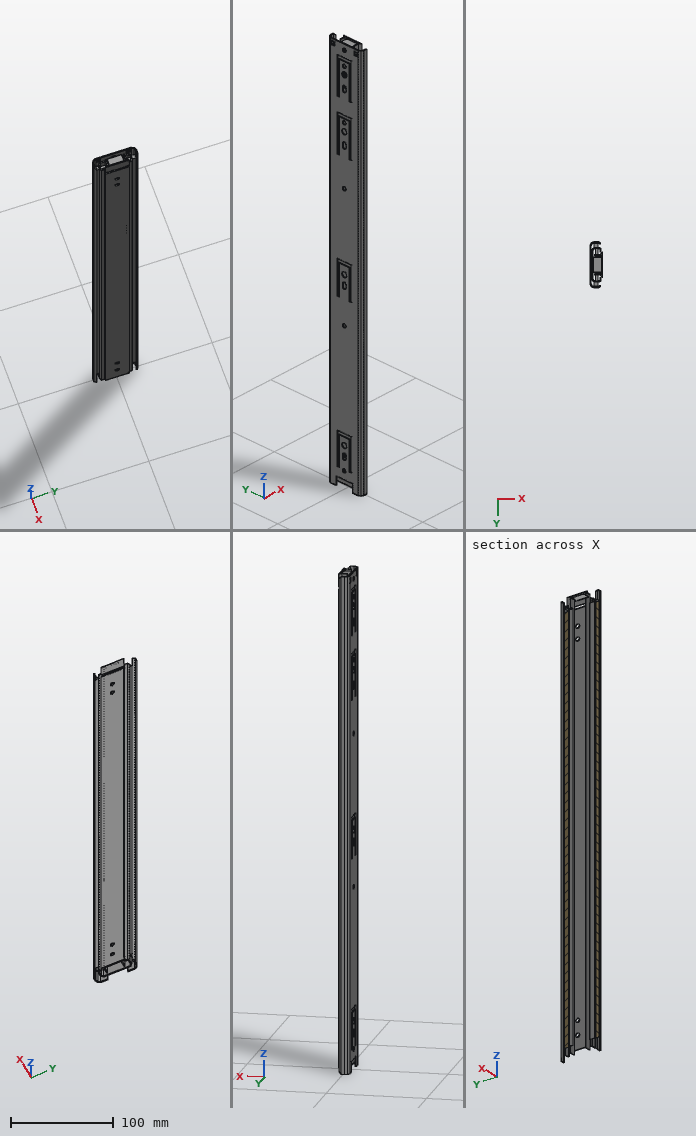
import cadquery as cq


LENGTH = 500.0
WIDTH = 45.5
DEPTH = 12.5
SHEET = 1.25
HALF_SHEET = SHEET / 2

OUTER_HALF = WIDTH / 2
OUTER_WEB_HALF = 18.5
OUTER_BEND_X = 2.0
OUTER_BEND_Y = 21.0
OUTER_FLANGE_START = 4.5
OUTER_FLANGE_END = 8.0
OUTER_LIP_X = 10.5
OUTER_LIP_Y = 21.5
LIP_CHAMFER = 2.5

MIDDLE_BACK = 1.75
MIDDLE_WEB_HALF = 14.5
MIDDLE_HALF = 17.0
MIDDLE_FLANGE_START = 4.5
MIDDLE_FLANGE_END = 8.5
MIDDLE_LIP_X = 11.0
MIDDLE_LIP_START = 15.5
MIDDLE_LIP_END = 13.0
MIDDLE_BOTTOM = 4.5
MIDDLE_TOP = 492.0

DRAWER_WEB_HALF = 11.0
DRAWER_FLANGE_HALF = 10.0
DRAWER_FLANGE_START = 10.0
DRAWER_FLANGE_END = 4.5
DRAWER_BOTTOM = 4.5

FRONT_SLOT_Z = 486.0
FRONT_SLOT_HEIGHT = 3.0
FRONT_SLOT_DEPTH = 1.5

STOP_HALF = 7.5
STOP_END = 3.5
STOP_TOP = 498.5

CAGE_BOTTOM = 15.0
CAGE_TOP = 490.0
OUTER_CAGE_X = (4.0, 8.0)
OUTER_CAGE_HALF = 21.0
INNER_CAGE_X = (5.5, 8.0)

TONGUES = [(484.5, 438.0), (420.0, 373.0), (255.5, 213.5), (62.5, 22.0)]
TONGUE_CUT_HALF = 9.5
TONGUE_HALF = 6.5
TONGUE_LEDGE = 1.5
TONGUE_TOP_GAP = 4.0

SMALL_HOLES = [493.0, 475.0, 411.5, 337.5, 183.5, 20.5]
SMALL_HOLE = 4.5
LARGE_HOLES = [465.5, 401.5, 241.0, 49.0]
LARGE_HOLE = 6.5
SCREW_SLOTS = [449.5, 386.0, 228.5, 36.5]
SCREW_SLOT_LENGTH = 8.0
SCREW_SLOT_WIDTH = 4.5

ACCESS_HOLES = [465.5, 451.5, 36.5, 20.5]
ACCESS_HOLE = 4.5

CORNER_OPENING = 4.5
CORNER_OPENING_Y = 15.5
CORNER_OPENING_Z = 495.0
NOTCH_HALF = 11.0
NOTCH_HEIGHT = 10.5


def sheet_rail(half_path, bottom, top):
    """Symmetric sheet rail along Z, from the mid-thickness line of its +Y half."""
    mirrored_half = [(x, -y) for x, y in reversed(half_path)]
    section = cq.Workplane("XY").workplane(offset=bottom).polyline(mirrored_half + half_path)
    return section.offset2D(HALF_SHEET, "intersection").extrude(top - bottom)


def box_between(x_range, y_range, z_range):
    """Axis-aligned box given by its lower and upper limits."""
    ranges = (x_range, y_range, z_range)
    sizes = [high - low for low, high in ranges]
    corner = tuple(low for low, high in ranges)
    return cq.Workplane("XY").box(*sizes, centered=False).translate(corner)


def cross_holes(heights, diameter):
    """Round cutters along X through the full depth, on the centre line of the slide."""
    centres = [(0, z) for z in heights]
    return cq.Workplane("YZ").pushPoints(centres).circle(diameter / 2).extrude(DEPTH)


def screw_slots():
    """Cutters for the upright screw slots."""
    centres = [(0, z) for z in SCREW_SLOTS]
    slots = cq.Workplane("YZ").pushPoints(centres).slot2D(SCREW_SLOT_LENGTH, SCREW_SLOT_WIDTH, 90)
    return slots.extrude(SHEET)


def tongue_cut(top, bottom):
    """U-shaped cutter that frees a mounting tongue with thin side ledges on three sides."""
    web = (0, SHEET)
    window = box_between(web, (-TONGUE_CUT_HALF, TONGUE_CUT_HALF), (bottom, top))
    tongue = box_between(web, (-TONGUE_HALF, TONGUE_HALF), (bottom, top - TONGUE_TOP_GAP))
    ledge_half = TONGUE_HALF + TONGUE_LEDGE
    ledge = box_between((HALF_SHEET, SHEET), (-ledge_half, ledge_half), (bottom, top - TONGUE_TOP_GAP))
    return window.cut(tongue).cut(ledge)


def corner_openings():
    """Square cutters in both top corners of the outer web."""
    centres = [(side * CORNER_OPENING_Y, CORNER_OPENING_Z) for side in (-1, 1)]
    return cq.Workplane("YZ").pushPoints(centres).rect(CORNER_OPENING, CORNER_OPENING).extrude(SHEET)


def bottom_notch():
    """Rectangular cutter open to the bottom end of the outer web."""
    return box_between((0, SHEET), (-NOTCH_HALF, NOTCH_HALF), (0, NOTCH_HEIGHT))


def lip_chamfer(end, inward):
    """Wedge cutter across both lips at one end; inward is the Z direction into the rail."""
    corners = [
        (OUTER_LIP_X, end),
        (OUTER_LIP_X - LIP_CHAMFER, end),
        (OUTER_LIP_X, end + inward * LIP_CHAMFER),
    ]
    return cq.Workplane("XZ").polyline(corners).close().extrude(OUTER_HALF, both=True)


def make_outer_rail():
    half_path = [
        (HALF_SHEET, OUTER_WEB_HALF),
        (OUTER_BEND_X, OUTER_BEND_Y),
        (OUTER_FLANGE_START, OUTER_HALF - HALF_SHEET),
        (OUTER_FLANGE_END, OUTER_HALF - HALF_SHEET),
        (OUTER_LIP_X - HALF_SHEET, OUTER_LIP_Y - HALF_SHEET),
    ]
    rail = sheet_rail(half_path, 0, LENGTH)
    for top, bottom in TONGUES:
        rail = rail.cut(tongue_cut(top, bottom))
    rail = rail.cut(cross_holes(SMALL_HOLES, SMALL_HOLE))
    rail = rail.cut(cross_holes(LARGE_HOLES, LARGE_HOLE))
    rail = rail.cut(screw_slots()).cut(corner_openings()).cut(bottom_notch())
    return rail.cut(lip_chamfer(0, 1)).cut(lip_chamfer(LENGTH, -1))


def make_middle_rail():
    half_path = [
        (MIDDLE_BACK + HALF_SHEET, MIDDLE_WEB_HALF),
        (MIDDLE_FLANGE_START, MIDDLE_HALF - HALF_SHEET),
        (MIDDLE_FLANGE_END, MIDDLE_HALF - HALF_SHEET),
        (MIDDLE_LIP_X - HALF_SHEET, MIDDLE_LIP_START),
        (MIDDLE_LIP_X - HALF_SHEET, MIDDLE_LIP_END),
    ]
    rail = sheet_rail(half_path, MIDDLE_BOTTOM, MIDDLE_TOP)
    return rail.cut(cross_holes(ACCESS_HOLES, ACCESS_HOLE))


def make_drawer_rail():
    half_path = [
        (DEPTH - HALF_SHEET, DRAWER_WEB_HALF),
        (DRAWER_FLANGE_START, DRAWER_FLANGE_HALF - HALF_SHEET),
        (DRAWER_FLANGE_END + HALF_SHEET, DRAWER_FLANGE_HALF - HALF_SHEET),
    ]
    rail = sheet_rail(half_path, DRAWER_BOTTOM, LENGTH)
    stop = box_between(
        (STOP_END, DEPTH - HALF_SHEET), (-STOP_HALF, STOP_HALF), (STOP_TOP - SHEET, STOP_TOP)
    )
    front_slot = box_between(
        (DEPTH - FRONT_SLOT_DEPTH, DEPTH),
        (-OUTER_HALF, OUTER_HALF),
        (FRONT_SLOT_Z - FRONT_SLOT_HEIGHT / 2, FRONT_SLOT_Z + FRONT_SLOT_HEIGHT / 2),
    )
    return rail.union(stop).cut(front_slot).cut(cross_holes(ACCESS_HOLES, ACCESS_HOLE))


def make_cage(x_range, inner_half, outer_half, side):
    """Ball cage strip on one side of the slide; side is +1 or -1 in Y."""
    y_range = sorted((side * inner_half, side * outer_half))
    return box_between(x_range, y_range, (CAGE_BOTTOM, CAGE_TOP))


outer_rail = make_outer_rail()
middle_rail = make_middle_rail()
drawer_rail = make_drawer_rail()
outer_cages = [make_cage(OUTER_CAGE_X, MIDDLE_HALF, OUTER_CAGE_HALF, side) for side in (-1, 1)]
inner_cages = [
    make_cage(INNER_CAGE_X, DRAWER_FLANGE_HALF, MIDDLE_HALF - SHEET, side) for side in (-1, 1)
]

rails = [outer_rail, middle_rail, drawer_rail]
result = cq.Compound.makeCompound([body.val() for body in rails + outer_cages + inner_cages])